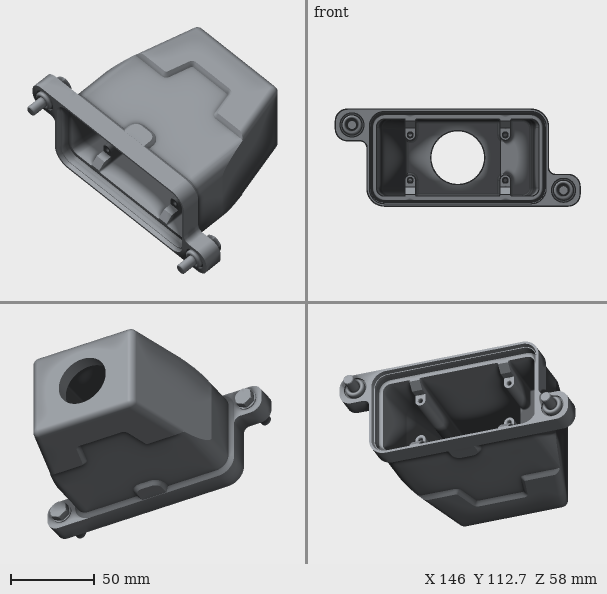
import cadquery as cq
import math

hood_back_y = 100.9
side_angle = 15.0
side_lean = math.tan(math.radians(side_angle))
lean_start_y = 35.2

flange_half_x = 54.2
flange_half_z = 28.98
flange_thick = 12.1
flange_corner_r = 10.7
ear_end_x = 73.0
ear_inner_z = 10.0
ear_corner_r = 7.5
ear_notch_r = 4.0

body_step = 2.5
body_half_x = flange_half_x - body_step
body_half_z = flange_half_z - body_step
body_corner_r = flange_corner_r - body_step
body_top_y = 58.4
upper_edge_r = 4.4

tongue_tip_y = 76.4
tongue_root_half_x = 19.7
tongue_tip_r = 1.0
tongue_root_r = 3.6

pad_half_x = 10.5
pad_end_y = 24.7
pad_corner_r = 7.2
pad_drop = 0.1

mouth_inset = 1.5
mouth_bevel = 0.9
mouth_bevel_depth = 2.5
mouth_step = 0.5
ledge_bevel = 0.6
ledge_bevel_depth = 1.9
ledge_y = 8.0

cavity_half_x = 48.5
cavity_half_z = 23.0
cavity_corner_r = 5.0
cavity_bend_x = 45.1
cavity_bend_y = 38.4
cavity_floor_y = 92.3
cavity_roof_drop = 1.2
floor_edge_r = 1.3
shelf_y = 44.5
shelf_edge_r = 0.9
shelf_edge_x = 25.4
cable_hole_d = 32.0

post_x = 28.3
post_z = 13.5
post_r = 3.2
post_tip_y = 18.0
post_ramp_y = 12.5
post_ramp_z = 17.5
post_foot_z = 21.9
post_root_r = 1.0
select_margin = 0.1
post_hole_d = 2.6
post_hole_depth = 8.8
post_hole_bevel = 0.5

bolt_x = 63.0
bolt_z = (flange_half_z + ear_inner_z) / 2
shank_d = 6.4
shank_tip_y = -11.8
shank_bevel = 0.5
collar_d = 12.0
collar_out = 1.9
collar_seat_d = 14.3
collar_seat_depth = 1.5
washer_d = 12.5
washer_thick = 0.9
head_corner_d = 12.0
head_height = 4.4
head_turn = 6.0
head_bevel_d = 10.7
head_bevel_height = 0.6

bolt_places = [(-bolt_x, bolt_z), (bolt_x, -bolt_z)]
post_places = [(side * post_x, end) for side in (-1, 1) for end in (-1, 1)]


def facing_y(y):
    """Workplane at height y that extrudes towards +Y; its axes are (Z, X)."""
    return cq.Workplane("ZX", origin=(0, y, 0))


def rounded_bar(half_x, half_z, corner_r, y_start, y_end):
    """Bar along Y with rounded corners."""
    bar = facing_y(y_start).rect(2 * half_z, 2 * half_x).extrude(y_end - y_start)
    return bar.edges("|Y").fillet(corner_r)


def rounded_taper(half_x, half_z, corner_r, inset, y_start, y_end):
    """Rounded bar along Y that shrinks by inset on every side."""
    start = cq.Sketch().rect(2 * half_z, 2 * half_x).vertices().fillet(corner_r)
    end = cq.Sketch().rect(2 * (half_z - inset), 2 * (half_x - inset)).vertices().fillet(corner_r - inset)
    depth = y_end - y_start
    return facing_y(y_start).placeSketch(start, end.moved(cq.Location(cq.Vector(0, 0, depth)))).loft()


def cylinder_y(diameter, y_start, y_end, x=0.0, z=0.0):
    """Cylinder along Y."""
    return facing_y(y_start).center(z, x).circle(diameter / 2).extrude(y_end - y_start)


def edge_box(x_range, y_range, z_range):
    """Selector for edges whose centres lie within the three ranges."""
    low, high = zip(x_range, y_range, z_range)
    return cq.selectors.BoxSelector(low, high)


def make_ear():
    """Ear on the -X, +Z corner of the flange."""
    reach = ear_end_x - flange_half_x
    height = flange_half_z - ear_inner_z
    overlap = flange_corner_r
    ear = (
        facing_y(0)
        .center(ear_inner_z + height / 2, -ear_end_x + (reach + overlap) / 2)
        .rect(height, reach + overlap)
        .extrude(flange_thick)
    )
    return ear.edges("|Y and <X").fillet(ear_corner_r)


def make_flange():
    """Mounting flange with both ears and rounded inside corners."""
    ear = make_ear()
    opposite_ear = ear.rotate((0, 0, 0), (0, 1, 0), 180)
    flange = rounded_bar(flange_half_x, flange_half_z, flange_corner_r, 0, flange_thick)
    flange = flange.union(ear).union(opposite_ear).clean()
    for side in (-1, 1):
        corner = cq.selectors.NearestToPointSelector(
            (side * flange_half_x, flange_thick / 2, -side * ear_inner_z)
        )
        flange = flange.edges("|Y").edges(corner).fillet(ear_notch_r)
    bevel = rounded_taper(
        flange_half_x, flange_half_z, flange_corner_r, body_step, flange_thick, flange_thick + body_step
    )
    return flange.union(bevel)


def leaning_outline(half_z):
    """Prism along Z bounded by the two side walls and the back of the hood."""
    back_half_x = body_half_x - side_lean * (hood_back_y - lean_start_y)
    return (
        cq.Workplane("XY", origin=(0, 0, -half_z))
        .polyline([
            (-body_half_x, 0),
            (body_half_x, 0),
            (body_half_x, lean_start_y),
            (back_half_x, hood_back_y),
            (-back_half_x, hood_back_y),
            (-body_half_x, lean_start_y),
        ])
        .close()
        .extrude(2 * half_z)
    )


def make_lower_body():
    bar = rounded_bar(body_half_x, body_half_z, body_corner_r, flange_thick, body_top_y)
    return bar.intersect(leaning_outline(flange_half_z))


def make_step_cutter():
    """Tool above the lower body, with a central tongue and walls sloping at 45 degrees."""
    tongue_tip_half_x = tongue_root_half_x - side_lean * (tongue_tip_y - body_top_y)
    far_x = flange_half_x
    outline = (
        cq.Sketch()
        .polygon([
            (-far_x, 0),
            (far_x, 0),
            (far_x, body_top_y),
            (tongue_root_half_x, body_top_y),
            (tongue_tip_half_x, tongue_tip_y),
            (-tongue_tip_half_x, tongue_tip_y),
            (-tongue_root_half_x, body_top_y),
            (-far_x, body_top_y),
            (-far_x, 0),
        ])
    )
    outline.vertices(">Y").fillet(tongue_tip_r).reset()
    root_box = cq.selectors.BoxSelector(
        (-tongue_root_half_x - 1.5, body_top_y - 1.5, -1.5), (tongue_root_half_x + 1.5, body_top_y + 1.5, 1.5)
    )
    outline.vertices(root_box).fillet(tongue_root_r).reset()
    cutter = cq.Workplane("XY").placeSketch(outline).extrude(body_step, taper=-45)
    return cutter.translate((0, 0, body_half_z))


def make_upper_body():
    """Thicker back part of the hood with rounded edges, cut back along the step."""
    upper = leaning_outline(flange_half_z)
    upper = upper.intersect(
        facing_y(lean_start_y).rect(2 * flange_half_z, 2 * flange_half_x).extrude(hood_back_y - lean_start_y)
    )
    upper = upper.edges("not <Y").fillet(upper_edge_r)
    upper = upper.intersect(
        facing_y(body_top_y).rect(2 * flange_half_z, 2 * flange_half_x).extrude(hood_back_y - body_top_y)
    )
    cutter = make_step_cutter()
    return upper.cut(cutter).cut(cutter.mirror("XY"))


def make_pad():
    """Raised pad on the +Z wall, nearly as high as the flange and sloping down to the wall."""
    pad = (
        cq.Workplane("XY", origin=(0, 0, body_half_z))
        .moveTo(-pad_half_x, 0)
        .lineTo(pad_half_x, 0)
        .lineTo(pad_half_x, pad_end_y - pad_corner_r)
        .radiusArc((pad_half_x - pad_corner_r, pad_end_y), -pad_corner_r)
        .lineTo(-pad_half_x + pad_corner_r, pad_end_y)
        .radiusArc((-pad_half_x, pad_end_y - pad_corner_r), -pad_corner_r)
        .close()
        .extrude(body_step - pad_drop, taper=45)
    )
    return pad


def make_mouth():
    """Bevelled mouth with a small step, a straight wall and a second bevel down to the ledge."""
    half_x = flange_half_x - mouth_inset
    half_z = flange_half_z - mouth_inset
    corner_r = flange_corner_r - mouth_inset
    bevel = rounded_taper(half_x, half_z, corner_r, mouth_bevel, 0, mouth_bevel_depth)

    wall_inset = mouth_bevel + mouth_step
    wall_x = half_x - wall_inset
    wall_z = half_z - wall_inset
    wall_r = corner_r - wall_inset
    wall_end_y = ledge_y - ledge_bevel_depth
    wall = rounded_bar(wall_x, wall_z, wall_r, mouth_bevel_depth, wall_end_y)
    end_bevel = rounded_taper(wall_x, wall_z, wall_r, ledge_bevel, wall_end_y, ledge_y)
    return bevel.union(wall).union(end_bevel)


def make_post(x, end):
    """Insert post standing on the +Z wall (end = 1) or the -Z wall (end = -1)."""
    post_top = flange_half_z
    post = (
        cq.Workplane("XY", origin=(x, 0, 0))
        .transformed(rotate=(-90, 0, 0))
        .moveTo(-post_r, -post_top)
        .lineTo(-post_r, -post_z)
        .threePointArc((0, -post_z + post_r), (post_r, -post_z))
        .lineTo(post_r, -post_top)
        .close()
        .extrude(hood_back_y)
    )
    side = (
        cq.Workplane("YZ", origin=(x - post_r, 0, 0))
        .polyline([
            (ledge_y, post_top),
            (ledge_y, post_foot_z),
            (post_ramp_y, post_ramp_z),
            (post_tip_y, post_ramp_z),
            (post_tip_y, 0),
            (hood_back_y, 0),
            (hood_back_y, post_top),
        ])
        .close()
        .extrude(2 * post_r)
    )
    post = post.intersect(side)
    return post if end > 0 else post.mirror("XY")


def make_cavity():
    """Space inside the hood, before the four posts are taken out of it."""
    lean_run = side_lean * (cavity_floor_y - cavity_bend_y)
    shelf_end_x = cavity_bend_x - side_lean * (shelf_y - cavity_bend_y)
    cavity = (
        cq.Workplane("XY", origin=(0, 0, -cavity_half_z))
        .polyline([
            (-cavity_half_x, ledge_y),
            (-cavity_bend_x, cavity_bend_y),
            (-cavity_bend_x + lean_run, cavity_floor_y),
            (shelf_edge_x, cavity_floor_y),
            (shelf_edge_x, shelf_y),
            (shelf_end_x, shelf_y),
            (cavity_bend_x, cavity_bend_y),
            (cavity_half_x, ledge_y),
        ])
        .close()
        .extrude(2 * cavity_half_z)
    )
    drafted_side = (
        cq.Workplane("YZ", origin=(-cavity_half_x, 0, 0))
        .polyline([
            (ledge_y, -cavity_half_z),
            (ledge_y, cavity_half_z),
            (cavity_floor_y, cavity_half_z - cavity_roof_drop),
            (cavity_floor_y, -cavity_half_z),
        ])
        .close()
        .extrude(2 * cavity_half_x)
    )
    cavity = cavity.intersect(drafted_side)

    full_depth = (0, hood_back_y)
    full_height = (-flange_half_z, flange_half_z)
    left_corners = edge_box((-cavity_half_x, -cavity_bend_x + lean_run), full_depth, full_height)
    right_corners = edge_box((shelf_end_x, cavity_half_x), full_depth, full_height)
    for corners in (left_corners, right_corners):
        cavity = cavity.edges("not |Z").edges(corners).fillet(cavity_corner_r)
    return cavity


def round_cavity_edges(cavity):
    """Round the roots of the posts, the edges of the floor and the outline of the shelf."""
    full_depth = (0, hood_back_y)
    full_height = (-flange_half_z, flange_half_z)
    post_inner_x = post_x - post_r
    post_outer_x = post_x + post_r

    root_height = {1: (post_foot_z, flange_half_z), -1: (-flange_half_z, -post_foot_z)}
    for face_x in (-post_inner_x, post_inner_x, post_outer_x):
        for end in (-1, 1):
            near_face = (face_x - select_margin, face_x + select_margin)
            root = edge_box(near_face, (post_tip_y, cavity_floor_y), root_height[end])
            cavity = cavity.edges("not |Z").edges(root).fillet(post_root_r)

    floor_range = (-cavity_half_x, (post_inner_x + shelf_edge_x) / 2)
    floor_sides = edge_box(floor_range, full_depth, (-post_z, flange_half_z))
    cavity = cavity.faces(">Y").edges(floor_sides).fillet(floor_edge_r)

    shelf_range = ((shelf_edge_x + post_x) / 2, cavity_half_x)
    shelf_middle = cq.selectors.NearestToPointSelector(((shelf_edge_x + cavity_bend_x) / 2, shelf_y, 0))
    shelf_sides = edge_box(shelf_range, full_depth, full_height)
    return cavity.faces(shelf_middle).edges(shelf_sides).fillet(shelf_edge_r)


def make_post_hole(x, z):
    """Blind screw hole with a bevelled rim in the tip of a post."""
    hole = cylinder_y(post_hole_d, post_tip_y, post_tip_y + post_hole_depth, x, z)
    rim = cq.Solid.makeCone(
        post_hole_d / 2 + post_hole_bevel,
        post_hole_d / 2,
        post_hole_bevel,
        cq.Vector(x, post_tip_y, z),
        cq.Vector(0, 1, 0),
    )
    return hole.union(cq.Workplane(rim))


def make_hood():
    pad = make_pad()
    hood = make_flange().union(make_lower_body()).union(make_upper_body())
    hood = hood.union(pad).union(pad.mirror("XY"))

    cavity = make_cavity()
    for x, end in post_places:
        cavity = cavity.cut(make_post(x, end))
    cavity = round_cavity_edges(cavity)
    hood = hood.cut(make_mouth()).cut(cavity)
    for x, end in post_places:
        hood = hood.cut(make_post_hole(x, end * post_z))

    hood = hood.cut(cylinder_y(cable_hole_d, ledge_y, hood_back_y))
    for x, z in bolt_places:
        hood = hood.cut(cylinder_y(shank_d, 0, flange_thick, x, z))
        hood = hood.cut(cylinder_y(collar_seat_d, 0, collar_seat_depth, x, z))
    return hood


def make_collar():
    """Ring around the shank with a fully rounded end."""
    inner_r = shank_d / 2
    outer_r = collar_d / 2
    round_r = (outer_r - inner_r) / 2
    return (
        cq.Workplane("XY")
        .moveTo(inner_r, collar_seat_depth)
        .lineTo(inner_r, round_r - collar_out)
        .threePointArc((inner_r + round_r, -collar_out), (outer_r, round_r - collar_out))
        .lineTo(outer_r, collar_seat_depth)
        .close()
        .revolve(360, (0, 0, 0), (0, 1, 0))
    )


def make_bolt(x, z):
    """Hexagon bolt with a washer face, and a rounded collar under the ear."""
    head_start_y = flange_thick + washer_thick
    head_top_y = head_start_y + head_height
    shank = cylinder_y(shank_d, shank_tip_y, flange_thick).faces("<Y").chamfer(shank_bevel)
    collar = make_collar()
    washer = cylinder_y(washer_d, flange_thick, head_start_y)
    head = (
        facing_y(head_start_y)
        .transformed(rotate=(0, 0, head_turn))
        .polygon(6, head_corner_d)
        .extrude(head_height)
    )
    head_round = cylinder_y(head_corner_d, head_start_y, head_top_y)
    head_round = head_round.faces(">Y").chamfer(head_bevel_height, (head_corner_d - head_bevel_d) / 2)
    head = head.intersect(head_round)
    return shank.union(collar).union(washer).union(head).translate((x, 0, z))


hood = make_hood()
bolts = [make_bolt(x, z) for x, z in bolt_places]

result = cq.Compound.makeCompound([hood.val(), *[bolt.val() for bolt in bolts]])